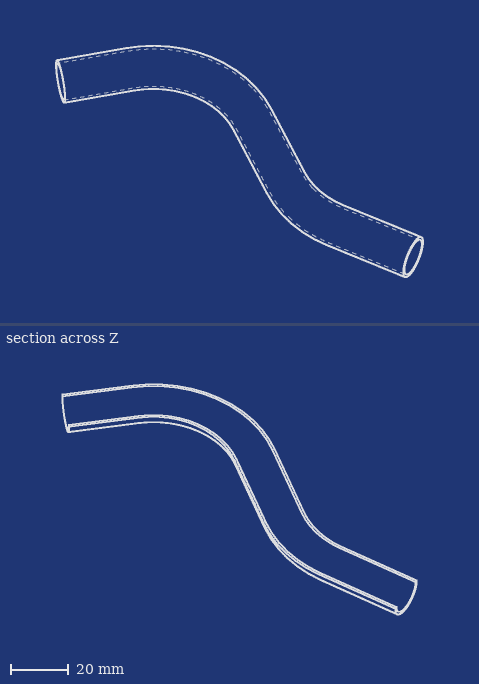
import cadquery as cq
import math

outer_diameter = 15.0
inner_diameter = 13.0
bend_radius = 37.2
slope_angle = math.radians(40)
overall_length = 148.9
right_straight = 30.4
middle_straight = 30.1

bend_run = bend_radius * math.sin(slope_angle)
bend_rise = bend_radius * (1 - math.cos(slope_angle))
half_run = bend_radius * math.sin(slope_angle / 2)
half_rise = bend_radius * (1 - math.cos(slope_angle / 2))

end_overhang = outer_diameter / 2 * math.sin(slope_angle)
left_run = (
    overall_length - right_straight - 3 * bend_run
    - middle_straight * math.cos(slope_angle) - end_overhang
)

right_end = (0, 0)
lower_bend_start = (-right_straight, 0)
lower_bend_middle = (lower_bend_start[0] - half_run, half_rise)
lower_bend_end = (lower_bend_start[0] - bend_run, bend_rise)
upper_bend_start = (
    lower_bend_end[0] - middle_straight * math.cos(slope_angle),
    lower_bend_end[1] + middle_straight * math.sin(slope_angle),
)
upper_bend_crest = (upper_bend_start[0] - bend_run, upper_bend_start[1] + bend_rise)
upper_bend_end = (upper_bend_crest[0] - bend_run, upper_bend_start[1])
left_end = (
    upper_bend_end[0] - left_run,
    upper_bend_end[1] - left_run * math.tan(slope_angle),
)

centreline = (
    cq.Workplane("XY")
    .moveTo(*right_end)
    .lineTo(*lower_bend_start)
    .threePointArc(lower_bend_middle, lower_bend_end)
    .lineTo(*upper_bend_start)
    .threePointArc(upper_bend_crest, upper_bend_end)
    .lineTo(*left_end)
)

result = (
    cq.Workplane("YZ")
    .circle(outer_diameter / 2)
    .circle(inner_diameter / 2)
    .sweep(centreline)
)